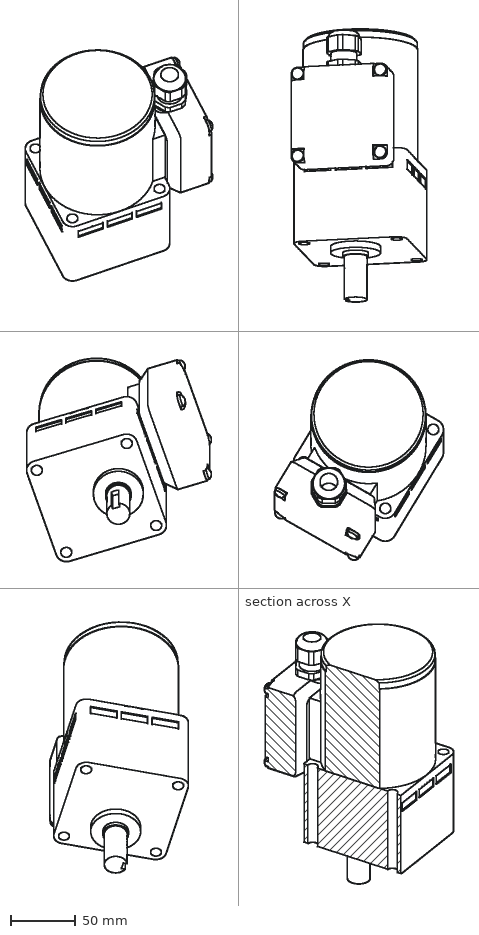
import cadquery as cq
import math


SQUARE = 90.0
GEARHEAD_HEIGHT = 71.3
CORNER_RADIUS = 8.5
MOUNT_PITCH = 73.8
MOUNT_DIAMETER = 8.5

RECESS_COUNT = 3
RECESS_WIDTH = 21.0
RECESS_HEIGHT = 7.5
RECESS_PITCH = 24.7
RECESS_DROP = 7.8
RECESS_DEPTH = 1.0

SHAFT_Y = 18.0
SPIGOT_DIAMETER = 39.0
SPIGOT_HEIGHT = 5.0
COLLAR_DIAMETER = 20.0
COLLAR_HEIGHT = 3.0
SHAFT_DIAMETER = 18.0
SHAFT_REACH = 42.5
KEYWAY_LENGTH = 24.7
KEYWAY_WIDTH = 6.0
KEYWAY_DEPTH = 3.5

MOTOR_DIAMETER = 89.9
TOTAL_HEIGHT = 211.0
MOTOR_TOP = TOTAL_HEIGHT - SHAFT_REACH
CAP_DIAMETER = 89.0
CAP_HEIGHT = 7.2
CAP_CHAMFER = 2.0
PAD_WIDTH = 56.5
PAD_TOP = MOTOR_TOP - 42.2

BOX_SIDE = 76.5
BOX_RADIUS = 5.3
BOX_BACK_SIDE = 64.1
BOX_BACK_RADIUS = 3.5
BOX_Z = 93.3
BOX_TOP = BOX_Z + BOX_SIDE / 2
PAD_OVERHANG = 0.5
BACK_Y = SQUARE / 2 + PAD_OVERHANG
TAPER_LENGTH = 9.0
FLOOR_Y = BACK_Y + TAPER_LENGTH
LID_EDGE_Y = 81.2
LID_ROUND = 2.1
LID_CROWN = 2.7
LID_APEX_Y = LID_EDGE_Y + LID_CROWN

NOTCH_SIDE = 10.8
NOTCH_Y = 78.5
SCREW_RADIUS = 4.6
SCREW_OFFSET = BOX_SIDE / 2 - NOTCH_SIDE / 2
SCREW_RIM_Y = 80.5
SCREW_APEX_Y = 83.3

GLAND_Y = 61.2
HEX_FLATS = 25.3
HEX_ROUND_DIAMETER = 27.2
BOSS_DIAMETER = 27.9
BOSS_DEPTH = 7.5
HEX_HEIGHT = 5.7
NECK_DIAMETER = 20.3
NUT_BOTTOM = MOTOR_TOP - 23.6
NUT_TOP = MOTOR_TOP - 11.5
DOME_DIAMETER = 24.7
DOME_HEIGHT = 5.0
DOME_ROUND = 4.9
BORE_DIAMETER = 13.7
GLAND_TOP = NUT_TOP + DOME_HEIGHT


def cylinder(diameter, bottom, top, y=0.0):
    """Vertical cylinder between two heights, with its axis at the given Y."""
    return cq.Workplane("XY", origin=(0, y, bottom)).circle(diameter / 2).extrude(top - bottom)


def box_plane(y):
    """Plane at the given Y on the box centre line: local x is -X, local y is Z, normal is +Y."""
    return cq.Workplane(cq.Plane(origin=(0, y, BOX_Z), xDir=(-1, 0, 0), normal=(0, 1, 0)))


def rounded_square(side, radius):
    return cq.Sketch().rect(side, side).vertices().fillet(radius)


def make_label_recesses():
    """Rows of shallow rectangular recesses, one row on each side face."""
    recess_z = GEARHEAD_HEIGHT - RECESS_DROP - RECESS_HEIGHT / 2
    row = (
        cq.Workplane("XY", origin=(0, -SQUARE / 2, recess_z))
        .rarray(RECESS_PITCH, 2.1, RECESS_COUNT, 1)
        .box(RECESS_WIDTH, 2 * RECESS_DEPTH, RECESS_HEIGHT, combine=False)
    )
    recesses = cq.Workplane("XY")
    for angle in (0, 90, 180, 270):
        recesses = recesses.add(row.rotate((0, 0, 0), (0, 0, 1), angle))
    return recesses.combine()


def make_output_shaft():
    """Spigot, collar and shaft below the mounting face, with a keyway open at the tip."""
    spigot = cylinder(SPIGOT_DIAMETER, -SPIGOT_HEIGHT, 0, SHAFT_Y)
    collar = cylinder(COLLAR_DIAMETER, -SPIGOT_HEIGHT - COLLAR_HEIGHT, 0, SHAFT_Y)
    shaft = cylinder(SHAFT_DIAMETER, -SHAFT_REACH, 0, SHAFT_Y)
    keyway = (
        cq.Workplane("XY", origin=(SHAFT_DIAMETER / 2, SHAFT_Y, -SHAFT_REACH))
        .rect(2 * KEYWAY_DEPTH, KEYWAY_WIDTH)
        .extrude(KEYWAY_LENGTH)
    )
    return spigot.union(collar).union(shaft.cut(keyway))


def make_gearhead():
    case = (
        cq.Workplane("XY")
        .rect(SQUARE, SQUARE)
        .extrude(GEARHEAD_HEIGHT)
        .edges("|Z")
        .fillet(CORNER_RADIUS)
    )
    mounting_holes = (
        cq.Workplane("XY")
        .rect(MOUNT_PITCH, MOUNT_PITCH, forConstruction=True)
        .vertices()
        .circle(MOUNT_DIAMETER / 2)
        .extrude(GEARHEAD_HEIGHT)
    )
    return case.cut(mounting_holes).cut(make_label_recesses()).union(make_output_shaft())


def make_motor_case():
    """Round motor with a chamfered end cap and a flat seat on the +Y side."""
    barrel = cylinder(MOTOR_DIAMETER, GEARHEAD_HEIGHT, MOTOR_TOP - CAP_HEIGHT)
    cap = cylinder(CAP_DIAMETER, MOTOR_TOP - CAP_HEIGHT, MOTOR_TOP).faces(">Z").chamfer(CAP_CHAMFER)
    pad = (
        cq.Workplane("XY", origin=(0, BACK_Y / 2, GEARHEAD_HEIGHT))
        .rect(PAD_WIDTH, BACK_Y)
        .extrude(PAD_TOP - GEARHEAD_HEIGHT)
    )
    return barrel.union(cap).union(pad)


def crowned_bar(turn):
    """Bar with an arched +Y side, turned about the box centre line; two crossed bars shape the lid."""
    half = BOX_SIDE / 2 - LID_ROUND
    arc_radius = (half**2 + LID_CROWN**2) / (2 * LID_CROWN)
    end_x = BOX_SIDE / 2
    end_y = LID_APEX_Y - arc_radius + math.sqrt(arc_radius**2 - end_x**2)
    bar = (
        cq.Workplane("XY", origin=(0, 0, BOX_Z))
        .moveTo(-end_x, BACK_Y)
        .lineTo(-end_x, end_y)
        .threePointArc((0, LID_APEX_Y), (end_x, end_y))
        .lineTo(end_x, BACK_Y)
        .close()
        .extrude(BOX_SIDE / 2, both=True)
    )
    return bar.rotate((0, 0, BOX_Z), (0, 1, BOX_Z), turn)


def make_lid_crown():
    """Slightly crowned outer face of the lid, inside the rounded edge."""
    return (
        box_plane(LID_EDGE_Y)
        .placeSketch(rounded_square(BOX_SIDE - 2 * LID_ROUND, BOX_RADIUS - LID_ROUND))
        .extrude(LID_CROWN)
        .intersect(crowned_bar(0))
        .intersect(crowned_bar(90))
    )


def make_lid_screw(x, z):
    """Round-topped screw head standing in a corner notch."""
    rise = SCREW_APEX_Y - SCREW_RIM_Y
    sphere_radius = (SCREW_RADIUS**2 + rise**2) / (2 * rise)
    sphere_y = SCREW_APEX_Y - sphere_radius
    half_angle = math.asin(SCREW_RADIUS / sphere_radius) / 2
    arc_middle = (
        sphere_radius * math.sin(half_angle),
        sphere_y + sphere_radius * math.cos(half_angle),
    )
    head = (
        cq.Workplane("XY")
        .moveTo(0, NOTCH_Y)
        .lineTo(SCREW_RADIUS, NOTCH_Y)
        .lineTo(SCREW_RADIUS, SCREW_RIM_Y)
        .threePointArc(arc_middle, (0, SCREW_APEX_Y))
        .close()
        .revolve(360, (0, 0, 0), (0, 1, 0))
    )
    return head.translate((x, 0, z))


def make_terminal_box():
    taper = (
        box_plane(BACK_Y)
        .placeSketch(
            rounded_square(BOX_BACK_SIDE, BOX_BACK_RADIUS),
            rounded_square(BOX_SIDE, BOX_RADIUS).moved(cq.Location(cq.Vector(0, 0, TAPER_LENGTH))),
        )
        .loft(ruled=True)
    )
    walls = (
        box_plane(FLOOR_Y)
        .placeSketch(rounded_square(BOX_SIDE, BOX_RADIUS))
        .extrude(LID_EDGE_Y - FLOOR_Y)
        .faces(">Y")
        .edges()
        .fillet(LID_ROUND)
    )
    box = taper.union(walls).union(make_lid_crown())
    notches = (
        box_plane(NOTCH_Y)
        .rect(2 * SCREW_OFFSET, 2 * SCREW_OFFSET, forConstruction=True)
        .vertices()
        .rect(NOTCH_SIDE, NOTCH_SIDE)
        .extrude(LID_APEX_Y - NOTCH_Y)
    )
    box = box.cut(notches)
    for x in (-SCREW_OFFSET, SCREW_OFFSET):
        for z in (BOX_Z - SCREW_OFFSET, BOX_Z + SCREW_OFFSET):
            box = box.union(make_lid_screw(x, z))
    return box


def gland_hexagon(bottom, top):
    """Hexagon with turned-down corners and flats facing +X and -X."""
    hexagon = (
        cq.Workplane("XY", origin=(0, GLAND_Y, bottom))
        .polygon(6, HEX_FLATS, circumscribed=True)
        .extrude(top - bottom)
    )
    return hexagon.intersect(cylinder(HEX_ROUND_DIAMETER, bottom, top, GLAND_Y))


def make_gland():
    """Cable gland standing on the top wall of the terminal box."""
    boss = cylinder(BOSS_DIAMETER, BOX_TOP - BOSS_DEPTH, BOX_TOP, GLAND_Y)
    base = gland_hexagon(BOX_TOP, BOX_TOP + HEX_HEIGHT)
    neck = cylinder(NECK_DIAMETER, BOX_TOP, NUT_BOTTOM, GLAND_Y)
    nut = gland_hexagon(NUT_BOTTOM, NUT_TOP)
    dome = cylinder(DOME_DIAMETER, NUT_TOP, GLAND_TOP, GLAND_Y).faces(">Z").edges().fillet(DOME_ROUND)
    bore = cylinder(BORE_DIAMETER, BOX_TOP, GLAND_TOP, GLAND_Y)
    return boss.union(base).union(neck).union(nut).union(dome).cut(bore)


def make_motor():
    return make_motor_case().union(make_terminal_box()).union(make_gland())


gearhead = make_gearhead()
motor = make_motor()

result = cq.Compound.makeCompound([gearhead.val(), motor.val()])